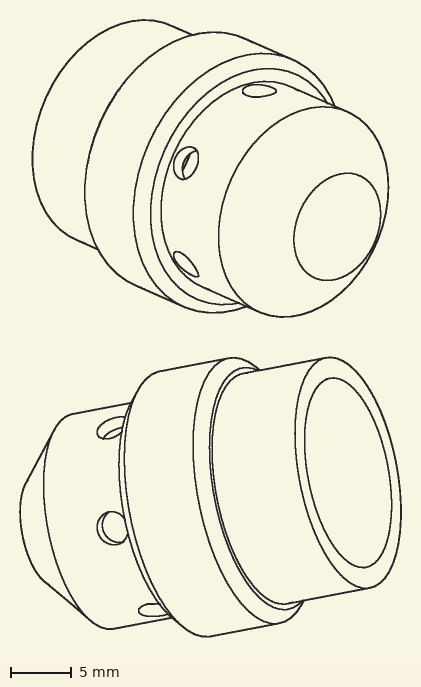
import cadquery as cq

total_length = 27.95
sleeve_diameter = 19.3
collar_diameter = 22.25
nose_diameter = 18.02
tip_diameter = 9.2
bore_diameter = 15.85

collar_start = 7.65
collar_end = 16.0
collar_chamfer = 1.0

hole_diameter = 2.77
hole_count = 6
hole_position = 17.77

cone_length = (nose_diameter - tip_diameter) / 2
cone_start = total_length - cone_length


def make_cylinder(diameter, start, end):
    """Cylinder on the X axis between two X positions."""
    return cq.Workplane("YZ", origin=(start, 0, 0)).circle(diameter / 2).extrude(end - start)


def make_collar():
    """Wide ring with both outer edges chamfered."""
    return make_cylinder(collar_diameter, collar_start, collar_end).edges().chamfer(collar_chamfer)


def make_nose():
    """Closed end: a cylinder ending in a 45 degree truncated cone."""
    nose = make_cylinder(nose_diameter, collar_end, total_length)
    return nose.faces(">X").edges().chamfer(cone_length)


def make_radial_hole(angle):
    """Cutter from the axis outward, turned from +Z about the X axis."""
    cutter = (
        cq.Workplane("XY")
        .center(hole_position, 0)
        .circle(hole_diameter / 2)
        .extrude(nose_diameter)
    )
    return cutter.rotate((0, 0, 0), (1, 0, 0), angle)


sleeve = make_cylinder(sleeve_diameter, 0, collar_start)
body = sleeve.union(make_collar()).union(make_nose())

body = body.cut(make_cylinder(bore_diameter, 0, cone_start))

for index in range(hole_count):
    body = body.cut(make_radial_hole(index * 360 / hole_count))

result = body